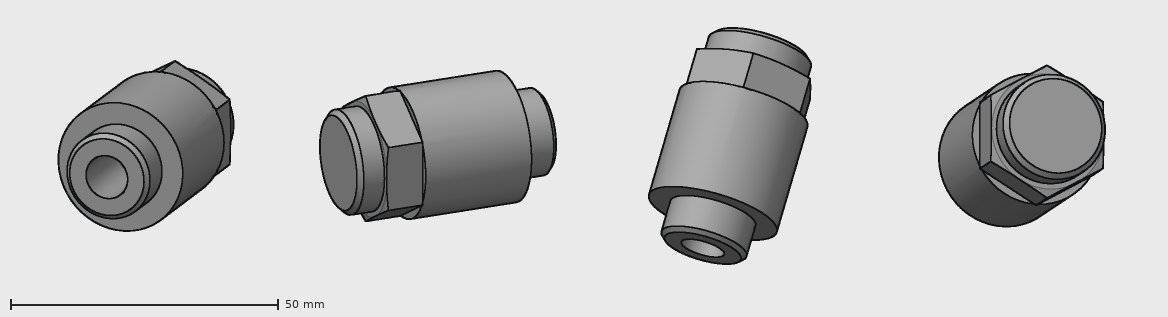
import cadquery as cq
import math

total_length = 41.1
front_spigot_length = 7.1
body_length = 21.5
hex_length = 7.3
rear_collar_length = total_length - front_spigot_length - body_length - hex_length

front_spigot_diameter = 16.65
body_diameter = 25.0
hex_across_flats = 22.0
hex_across_corners = hex_across_flats / math.cos(math.pi / 6)
rear_collar_diameter = 20.0
bore_diameter = 8.35

front_chamfer = 0.85
rear_chamfer = 1.0
hex_chamfer_diameter = hex_across_flats
hex_chamfer_length = 0.35
bore_depth = 16.45

front_face = -total_length / 2
body_start = front_face + front_spigot_length
hex_start = body_start + body_length
collar_start = hex_start + hex_length


def plane_at(y):
    """Plane across the axis at y, with local X along Z and its normal along +Y."""
    return cq.Workplane(cq.Plane(origin=(0, y, 0), xDir=(0, 0, 1), normal=(0, 1, 0)))


def cylinder(y, diameter, length):
    return plane_at(y).circle(diameter / 2).extrude(length)


def hexagon():
    """Hexagon with corners at +Z and -Z, its rear corners turned off by a cone."""
    prism = plane_at(hex_start).polygon(6, hex_across_corners).extrude(hex_length)
    cone_blank = (
        cylinder(hex_start, hex_across_corners, hex_length)
        .faces(">Y")
        .chamfer(hex_chamfer_length, (hex_across_corners - hex_chamfer_diameter) / 2)
    )
    return prism.intersect(cone_blank)


front_spigot = cylinder(front_face, front_spigot_diameter, front_spigot_length)
front_spigot = front_spigot.faces("<Y").chamfer(front_chamfer)

body = cylinder(body_start, body_diameter, body_length)

rear_collar = cylinder(collar_start, rear_collar_diameter, rear_collar_length)
rear_collar = rear_collar.faces(">Y").chamfer(rear_chamfer)

bore = cylinder(front_face, bore_diameter, bore_depth)

result = front_spigot.union(body).union(hexagon()).union(rear_collar).cut(bore)